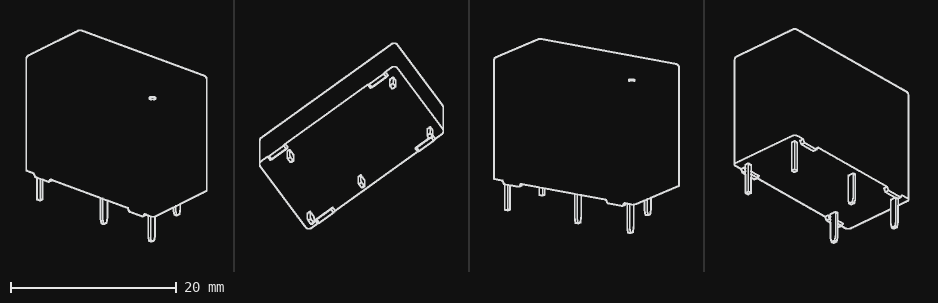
import cadquery as cq

case_length = 20.5
case_width = 10.2
total_height = 19.3
pin_length = 4.0
case_height = total_height - pin_length
edge_radius = 0.5

mark_diameter = 0.75
mark_depth = 0.1
mark_edge_offset = 1.0

foot_length = 2.65
foot_center_x = 7.48
foot_width = 0.53
foot_height = 0.4
foot_end_inset = 0.25

row_y = 3.8
coil_pin_x = -8.94
coil_pin_side = 0.5
contact_thickness = 0.39
contact_width = 0.86
contact_tip_width = 0.53
contact_tip_length = 0.62
contact_positions = [(1.27, -row_y), (6.35, row_y), (8.85, -row_y)]


def make_case():
    block = cq.Workplane("XY").box(case_length, case_width, case_height, centered=(True, True, False))
    rounded = block.edges("|Z or >Z").fillet(edge_radius)
    mark = (
        cq.Workplane("XY", origin=(0, 0, case_height - mark_depth))
        .center(case_length / 2 - mark_edge_offset, -case_width / 2 + mark_edge_offset)
        .circle(mark_diameter / 2)
        .extrude(mark_depth)
    )
    return rounded.cut(mark)


def make_foot(center_x, side):
    """Trapezoidal foot, flush with the long face on the given side (+1 or -1)."""
    half_top = foot_length / 2
    half_bottom = half_top - foot_end_inset
    profile = [
        (-half_top, 0),
        (half_top, 0),
        (half_bottom, -foot_height),
        (-half_bottom, -foot_height),
    ]
    center_y = side * (case_width - foot_width) / 2
    return (
        cq.Workplane("XZ", origin=(center_x, center_y, 0))
        .polyline(profile)
        .close()
        .extrude(foot_width / 2, both=True)
    )


def make_coil_pin(y):
    return (
        cq.Workplane("XY", origin=(coil_pin_x, y, 0))
        .rect(coil_pin_side, coil_pin_side)
        .extrude(-pin_length)
    )


def make_contact_pin(x, y):
    """Flat pin whose wide faces look along X, narrowing at the tip."""
    half_width = contact_width / 2
    half_tip = contact_tip_width / 2
    taper_z = contact_tip_length - pin_length
    profile = [
        (-half_width, 0),
        (half_width, 0),
        (half_width, taper_z),
        (half_tip, -pin_length),
        (-half_tip, -pin_length),
        (-half_width, taper_z),
    ]
    return (
        cq.Workplane("YZ", origin=(x, y, 0))
        .polyline(profile)
        .close()
        .extrude(contact_thickness / 2, both=True)
    )


result = make_case()

for side in (-1, 1):
    for foot_x in (-foot_center_x, foot_center_x):
        result = result.union(make_foot(foot_x, side))
    result = result.union(make_coil_pin(side * row_y))

for pin_x, pin_y in contact_positions:
    result = result.union(make_contact_pin(pin_x, pin_y))